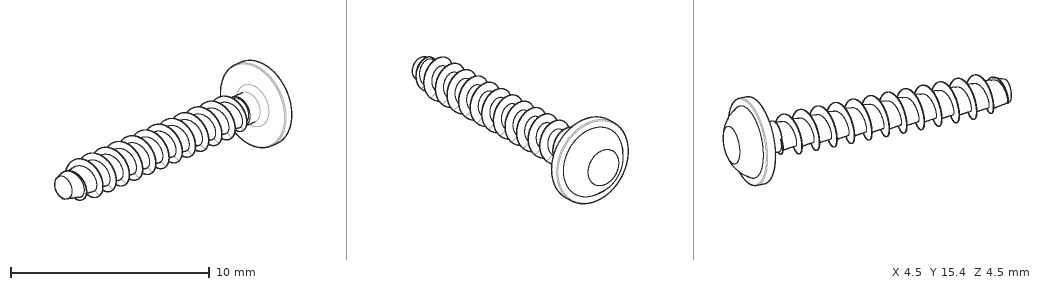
import cadquery as cq
import math


HEAD_HEIGHT = 1.4
FLANGE_RADIUS = 2.25
FLANGE_THICKNESS = 0.52
FLANGE_EDGE_ROUND = 0.05
DOME_BASE_RADIUS = 1.86
DOME_TOP_RADIUS = 0.965
DOME_BULGE = 0.12

LENGTH = 14.0
NECK_RADIUS = 0.805
NECK_END = 1.06
NECK_FILLET = 0.31

PITCH = 0.98
PHASE_DEPTH = 0.53
CREST_RADIUS = 1.1
CREST_WIDTH = 0.04
FLANK_ANGLE = 14
CORE_HIGH_RADIUS = 0.765
CORE_LOW_RADIUS = 0.67
RIDGE_MIN_HEIGHT = 0.02
POINTS_PER_TURN = 24
ROD_TURNS = 17
SEAM_TURN = 7 / 8
BURIED_TURNS = 2
ROD_START = PHASE_DEPTH + (SEAM_TURN - BURIED_TURNS) * PITCH
ROD_END = ROD_START + ROD_TURNS * PITCH

LEAD_IN_START = PHASE_DEPTH + PITCH / 2
LEAD_IN_STEP = 0.04
LEAD_IN_END = LEAD_IN_START + PITCH
BURIED_CREST_RADIUS = 0.787
LEAD_IN_CREST_RADIUS = 0.9
RUN_OUT_START = 12.6
RUN_OUT_CREST_RADIUS = 0.62
SUNK_CREST_RADIUS = 0.5
SINK_LENGTH = 0.33
CREST_STATIONS = [
    (ROD_START, BURIED_CREST_RADIUS),
    (LEAD_IN_START - LEAD_IN_STEP, BURIED_CREST_RADIUS),
    (LEAD_IN_START, LEAD_IN_CREST_RADIUS),
    (LEAD_IN_END, CREST_RADIUS),
    (RUN_OUT_START, CREST_RADIUS),
    (LENGTH, RUN_OUT_CREST_RADIUS),
    (LENGTH + SINK_LENGTH, SUNK_CREST_RADIUS),
    (ROD_END + PITCH, SUNK_CREST_RADIUS),
]

TIP_TURN = 90


def make_head_and_neck():
    """Head and plain neck as one turned body, neck upwards."""
    chord_r = DOME_TOP_RADIUS - DOME_BASE_RADIUS
    chord_z = HEAD_HEIGHT - FLANGE_THICKNESS
    chord = math.hypot(chord_r, chord_z)
    dome_middle = (
        (DOME_TOP_RADIUS + DOME_BASE_RADIUS) / 2 + DOME_BULGE * chord_z / chord,
        -(HEAD_HEIGHT + FLANGE_THICKNESS) / 2 + DOME_BULGE * chord_r / chord,
    )
    fillet_reach = NECK_FILLET * (1 - math.sqrt(0.5))
    return (
        cq.Workplane("XZ")
        .moveTo(0, -HEAD_HEIGHT)
        .lineTo(DOME_TOP_RADIUS, -HEAD_HEIGHT)
        .threePointArc(dome_middle, (DOME_BASE_RADIUS, -FLANGE_THICKNESS))
        .lineTo(FLANGE_RADIUS, -FLANGE_THICKNESS)
        .lineTo(FLANGE_RADIUS, 0)
        .lineTo(NECK_RADIUS + NECK_FILLET, 0)
        .threePointArc((NECK_RADIUS + fillet_reach, fillet_reach), (NECK_RADIUS, NECK_FILLET))
        .lineTo(NECK_RADIUS, NECK_END)
        .lineTo(0, NECK_END)
        .close()
        .revolve(360, (0, 0, 0), (0, 1, 0))
        .edges(cq.selectors.RadiusNthSelector(-1))
        .fillet(FLANGE_EDGE_ROUND)
    )


def crest_radius_at(depth):
    """Crest radius interpolated between the stations."""
    for (start, start_radius), (end, end_radius) in zip(CREST_STATIONS, CREST_STATIONS[1:]):
        if depth <= end:
            share = (depth - start) / (end - start)
            return start_radius + share * (end_radius - start_radius)
    return CREST_STATIONS[-1][1]


def ridge_profile(depth):
    """Ridge corners as (radius, depth), from its head side to its tip side."""
    crest = crest_radius_at(depth)
    core_high = min(CORE_HIGH_RADIUS, crest - RIDGE_MIN_HEIGHT)
    core_low = min(CORE_LOW_RADIUS, core_high)
    half_crest = CREST_WIDTH / 2
    half_root = half_crest + (crest - core_high) * math.tan(math.radians(FLANK_ANGLE))
    return [
        (core_low, depth - half_root),
        (crest, depth - half_crest),
        (crest, depth + half_crest),
        (core_high, depth + half_root),
    ]


def ridge_corners(step):
    """Ridge corners in space, a number of angular steps after the start of the rod."""
    depth = ROD_START + PITCH * step / POINTS_PER_TURN
    angle = 2 * math.pi * (depth - PHASE_DEPTH) / PITCH
    return [
        cq.Vector(radius * math.cos(angle), radius * math.sin(angle), corner_depth)
        for radius, corner_depth in ridge_profile(depth)
    ]


def ridge_edges(turn):
    """Helical edges along the ridge over one turn, from its head side to its tip side."""
    first_step = turn * POINTS_PER_TURN
    sections = [ridge_corners(first_step + step) for step in range(POINTS_PER_TURN + 1)]
    return [cq.Edge.makeSpline(list(corner)) for corner in zip(*sections)]


def axis_point(point):
    """Point on the screw axis at the same depth."""
    return cq.Vector(0, 0, point.z)


def end_cap(turn, edge):
    """Spiral step that closes the rod along the first ridge edge of a turn."""
    step = turn * POINTS_PER_TURN
    low = edge.startPoint()
    high = edge.endPoint()
    spiral = cq.Face.makeRuledSurface(edge, cq.Edge.makeLine(axis_point(low), axis_point(high)))
    riser = [axis_point(low), *ridge_corners(step), high, axis_point(high)]
    return [spiral, cq.Face.makeFromWires(cq.Wire.makePolygon(riser, close=True))]


def make_threaded_rod():
    """Core and thread as one solid, bounded by helical faces from turn to turn."""
    turns = [ridge_edges(turn) for turn in range(ROD_TURNS + 1)]
    faces = []
    for edges, next_edges in zip(turns, turns[1:]):
        boundary = edges + next_edges[:1]
        faces += [cq.Face.makeRuledSurface(*pair) for pair in zip(boundary, boundary[1:])]
    faces += end_cap(0, turns[0][0])
    faces += end_cap(ROD_TURNS, turns[ROD_TURNS][0])
    return cq.Workplane(cq.Solid.makeSolid(cq.Shell.makeShell(faces)).fix())


def make_tip_trim():
    """Space past the tip, where the rod overruns."""
    overrun = ROD_END + 2 * PITCH - LENGTH
    return cq.Workplane("XY").workplane(offset=LENGTH).circle(FLANGE_RADIUS).extrude(overrun)


rod = make_threaded_rod().cut(make_tip_trim())
screw = make_head_and_neck().union(rod)
result = screw.rotate((0, 0, 0), (1, 0, 0), TIP_TURN).solids()